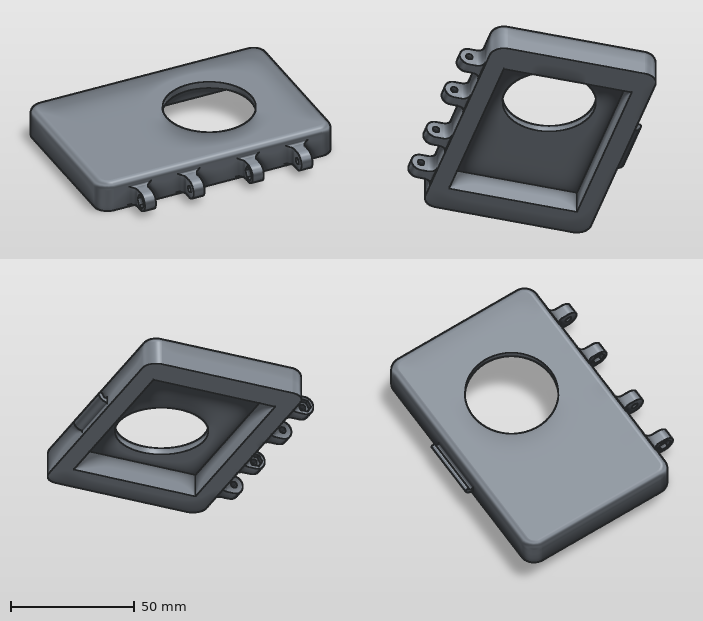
import cadquery as cq
import math

LENGTH = 106.0
WIDTH = 70.0
HEIGHT = 13.0
CORNER_RADIUS = 6.0
RIM_RADIUS = 3.0
TOP_THICKNESS = 3.0

POCKET_WIDTH = 54.1
POCKET_LENGTH = 79.9

WINDOW_DIAMETER = 38.0
WINDOW_Y = 12.9

KNUCKLE_RADIUS = 4.0
KNUCKLE_REACH = 10.0
KNUCKLE_THICKNESS = 5.0
KNUCKLE_Z = 5.0
OUTER_KNUCKLE_Y = 35.3
INNER_KNUCKLE_Y = 13.4
FLARE_RADIUS = 3.0
TOP_FLARE_RADIUS = 1.0
PIN_HOLE_DIAMETER = 2.8
NUT_ACROSS_CORNERS = 5.9
NUT_DEPTH = 2.0

HOOK_LENGTH = 25.0
HOOK_Y = 1.1
HOOK_THICKNESS = 1.8
HOOK_MID_RADIUS = 2.9
HOOK_CENTRE_Z = 6.3
HOOK_ROOT_ANGLE = 270.0
HOOK_TIP_ANGLE = 194.0
HOOK_ROOT_RADIUS = 0.7

RIGHT_WALL_X = WIDTH / 2
LEFT_WALL_X = -WIDTH / 2
HINGE_X = RIGHT_WALL_X + KNUCKLE_REACH - KNUCKLE_RADIUS


def point_on_circle(centre_x, centre_y, radius, angle):
    """Point on a circle at an angle in degrees."""
    turn = math.radians(angle)
    return (centre_x + radius * math.cos(turn), centre_y + radius * math.sin(turn))


def make_body():
    """Rounded box, open below through the pocket and above through the window."""
    body = cq.Workplane("XY").box(WIDTH, LENGTH, HEIGHT, centered=(True, True, False))
    body = body.edges("|Z").fillet(CORNER_RADIUS)
    body = body.faces(">Z").edges().fillet(RIM_RADIUS)
    pocket_depth = HEIGHT - TOP_THICKNESS
    pocket = cq.Workplane("XY").box(POCKET_WIDTH, POCKET_LENGTH, pocket_depth, centered=(True, True, False))
    window = cq.Workplane("XY").center(0, WINDOW_Y).circle(WINDOW_DIAMETER / 2).extrude(HEIGHT)
    return body.cut(pocket).cut(window)


def make_knuckle(y, has_nut_pocket):
    """Hinge lug: its plan outline, flared at the wall, trimmed to its side outline."""
    half = KNUCKLE_THICKNESS / 2
    tip_x = RIGHT_WALL_X + KNUCKLE_REACH
    flare_x = RIGHT_WALL_X + FLARE_RADIUS
    flare_y = half + FLARE_RADIUS
    plan = (
        cq.Workplane("XY")
        .moveTo(RIGHT_WALL_X, -flare_y)
        .threePointArc(point_on_circle(flare_x, -flare_y, FLARE_RADIUS, 135), (flare_x, -half))
        .lineTo(tip_x, -half)
        .lineTo(tip_x, half)
        .lineTo(flare_x, half)
        .threePointArc(point_on_circle(flare_x, flare_y, FLARE_RADIUS, 225), (RIGHT_WALL_X, flare_y))
        .close()
        .extrude(HEIGHT)
    )

    bottom_z = KNUCKLE_Z - KNUCKLE_RADIUS
    top_z = KNUCKLE_Z + KNUCKLE_RADIUS
    top_flare_x = RIGHT_WALL_X + TOP_FLARE_RADIUS
    top_flare_z = top_z + TOP_FLARE_RADIUS
    side = (
        cq.Workplane("XZ")
        .moveTo(RIGHT_WALL_X, bottom_z)
        .lineTo(HINGE_X, bottom_z)
        .threePointArc((tip_x, KNUCKLE_Z), (HINGE_X, top_z))
        .lineTo(top_flare_x, top_z)
        .threePointArc(
            point_on_circle(top_flare_x, top_flare_z, TOP_FLARE_RADIUS, 225),
            (RIGHT_WALL_X, top_flare_z),
        )
        .close()
        .extrude(flare_y, both=True)
    )

    knuckle = plan.intersect(side)
    hinge_plane = cq.Workplane("XZ", origin=(HINGE_X, 0, KNUCKLE_Z))
    knuckle = knuckle.cut(hinge_plane.circle(PIN_HOLE_DIAMETER / 2).extrude(flare_y, both=True))
    if has_nut_pocket:
        pocket_floor = hinge_plane.workplane(offset=half - NUT_DEPTH)
        knuckle = knuckle.cut(pocket_floor.polygon(6, NUT_ACROSS_CORNERS).extrude(NUT_DEPTH))
    return knuckle.translate((0, y, 0))


def make_hook():
    """Curved strip that leaves the wall, curls upward and ends in a round tip."""
    inner = HOOK_MID_RADIUS - HOOK_THICKNESS / 2
    outer = HOOK_MID_RADIUS + HOOK_THICKNESS / 2
    bend_angle = (HOOK_TIP_ANGLE + HOOK_ROOT_ANGLE) / 2

    def on_curve(radius, angle):
        return point_on_circle(LEFT_WALL_X, HOOK_CENTRE_Z, radius, angle)

    tip_x, tip_z = on_curve(HOOK_MID_RADIUS, HOOK_TIP_ANGLE)
    return (
        cq.Workplane("XZ", origin=(0, HOOK_Y, 0))
        .moveTo(*on_curve(outer, HOOK_ROOT_ANGLE))
        .threePointArc(on_curve(outer, bend_angle), on_curve(outer, HOOK_TIP_ANGLE))
        .threePointArc(
            point_on_circle(tip_x, tip_z, HOOK_THICKNESS / 2, HOOK_TIP_ANGLE - 90),
            on_curve(inner, HOOK_TIP_ANGLE),
        )
        .threePointArc(on_curve(inner, bend_angle), on_curve(inner, HOOK_ROOT_ANGLE))
        .close()
        .extrude(HOOK_LENGTH / 2, both=True)
    )


def round_hook_root(part):
    """Blend the hook into the wall above and below."""
    margin = HOOK_THICKNESS / 4
    hook_root_z = HOOK_CENTRE_Z - HOOK_MID_RADIUS
    reach_z = HOOK_THICKNESS / 2 + margin
    root_edges = cq.selectors.BoxSelector(
        (LEFT_WALL_X - margin, HOOK_Y - margin, hook_root_z - reach_z),
        (LEFT_WALL_X + margin, HOOK_Y + margin, hook_root_z + reach_z),
    )
    return part.edges("|Y").edges(root_edges).fillet(HOOK_ROOT_RADIUS)


result = round_hook_root(make_body().union(make_hook()))

for plain_y, nut_y in ((OUTER_KNUCKLE_Y, INNER_KNUCKLE_Y), (-INNER_KNUCKLE_Y, -OUTER_KNUCKLE_Y)):
    result = result.union(make_knuckle(plain_y, False))
    result = result.union(make_knuckle(nut_y, True))